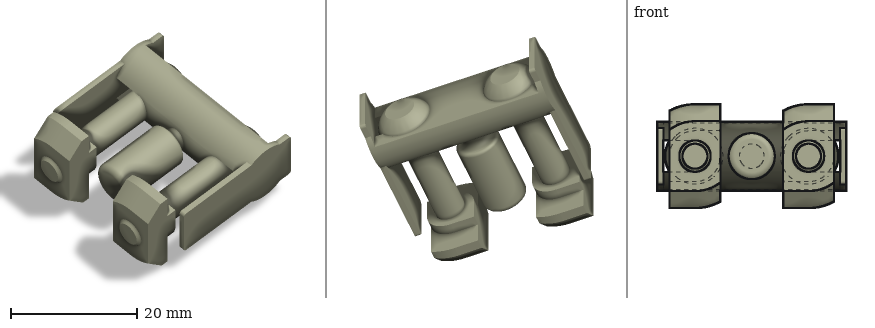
import cadquery as cq
import math

length = 30.0
back_y = length / 2
tip_y = -length / 2

plate_thickness = 1.0
plate_length = 23.5
plate_height = 9.0
plate_corner_radius = 0.5

tube_radius = 5.5
tube_y = 9.45
flat_offset = 1.5
flat_y = tube_y + flat_offset

bolt_x = 9.0
bolt_radius = 2.5
bolt_tip_chamfer = 0.5
head_base_radius = 4.75
head_top_radius = bolt_radius
head_height = 2.75
head_top_y = 12.8
head_base_y = head_top_y - head_height
head_arc_radius = 3.9

nut_width = 8.07
nut_height = 16.5
nut_neck_length = 1.7
nut_total_length = 6.0
nut_slope = 2.7
nut_slope_radius = 9.0
nut_front_y = tip_y + bolt_tip_chamfer
nut_back_y = nut_front_y + nut_total_length
nut_shoulder_y = nut_back_y - nut_neck_length

pin_radius = 3.65
pin_tip_y = -10.0
pin_shoulder_y = 2.52
pin_tip_fillet = 1.0
pin_shoulder_fillet = 0.5
pin_neck_radius = 1.95
pin_neck_fillet = 1.0


def cylinder_y(radius, start_y, end_y, x=0.0):
    """Cylinder parallel to Y, between two Y positions, centred on z = 0."""
    plane = cq.Plane(origin=(x, start_y, 0), xDir=(1, 0, 0), normal=(0, 1, 0))
    return cq.Workplane(plane).circle(radius).extrude(end_y - start_y)


def box_between(x_range, y_range, z_range):
    """Axis-aligned box given by its lower and upper limits."""
    sizes = [high - low for low, high in (x_range, y_range, z_range)]
    corner = (x_range[0], y_range[0], z_range[0])
    return cq.Workplane("XY").box(*sizes, centered=False).translate(corner)


def make_plate(start_x):
    """Rounded side plate with a disc that covers the end of the tube."""
    plate = (
        box_between(
            (start_x, start_x + plate_thickness),
            (back_y - plate_length, back_y),
            (-plate_height / 2, plate_height / 2),
        )
        .edges("|X")
        .fillet(plate_corner_radius)
    )
    disc = (
        cq.Workplane("YZ", origin=(start_x, 0, 0))
        .center(tube_y, 0)
        .circle(tube_radius)
        .extrude(plate_thickness)
    )
    return plate.union(disc)


def make_tube():
    """Solid round bar with a back flat and a round-ended slot at each end."""
    inner_half = length / 2 - plate_thickness
    front_y = tube_y - tube_radius
    tube = (
        cq.Workplane("YZ", origin=(-inner_half, 0, 0))
        .center(tube_y, 0)
        .circle(tube_radius)
        .extrude(2 * inner_half)
    )
    tube = tube.intersect(
        box_between((-inner_half, inner_half), (front_y, flat_y), (-tube_radius, tube_radius))
    )
    for x_range in ((-inner_half, -bolt_x), (bolt_x, inner_half)):
        slot = box_between(x_range, (front_y, flat_y), (-bolt_radius, bolt_radius))
        tube = tube.cut(slot)
    for x in (-bolt_x, bolt_x):
        tube = tube.cut(cylinder_y(bolt_radius, front_y, flat_y, x))
    return tube


def make_bolt():
    """Button-head bolt on the Y axis."""
    shank = cylinder_y(bolt_radius, tip_y, head_base_y).faces("<Y").chamfer(bolt_tip_chamfer)
    head = (
        cq.Workplane("XY")
        .moveTo(0, head_base_y)
        .lineTo(head_base_radius, head_base_y)
        .radiusArc((head_top_radius, head_top_y), -head_arc_radius)
        .lineTo(0, head_top_y)
        .close()
        .revolve(360, (0, 0, 0), (0, 1, 0))
    )
    return shank.union(head)


def quarter_turn_block(half_height, corner_radius, start_y, end_y):
    """Block of nut width, rounded about the bolt axis at two opposite corners."""
    half_width = nut_width / 2
    disc = cylinder_y(corner_radius, start_y, end_y)
    upper_right = box_between((0, half_width), (start_y, end_y), (0, half_height))
    lower_left = box_between((-half_width, 0), (start_y, end_y), (-half_height, 0))
    limits = box_between((-half_width, half_width), (start_y, end_y), (-half_height, half_height))
    return disc.intersect(limits).union(upper_right).union(lower_left)


def make_slope_limit():
    """Prism along the 45-degree slope: flat above x > 0, rounded above x < 0."""
    half_width = nut_width / 2
    side_drop = nut_slope_radius - math.sqrt(nut_slope_radius**2 - half_width**2)
    mid_drop = nut_slope_radius - math.sqrt(nut_slope_radius**2 - (half_width / 2) ** 2)
    depth = 2 * nut_height
    slope_plane = cq.Plane(
        origin=(0, nut_front_y, nut_height / 2 - nut_slope),
        xDir=(1, 0, 0),
        normal=(0, -1, -1),
    )
    return (
        cq.Workplane(slope_plane)
        .moveTo(half_width, 0)
        .lineTo(0, 0)
        .threePointArc((-half_width / 2, -mid_drop), (-half_width, -side_drop))
        .lineTo(-half_width, -depth)
        .lineTo(half_width, -depth)
        .close()
        .extrude(depth, both=True)
    )


def make_nut():
    """Hammer nut on the Y axis: a neck and a wide head sloped at both ends."""
    neck = quarter_turn_block(nut_width / 2, nut_width / 2, nut_shoulder_y, nut_back_y)
    head = quarter_turn_block(nut_height / 2, nut_height / 2, nut_front_y, nut_shoulder_y)
    slope_limit = make_slope_limit()
    head = head.intersect(slope_limit)
    head = head.intersect(slope_limit.rotate((0, 0, 0), (0, 1, 0), 180))
    return head.union(neck)


def make_pin():
    """Central pin with rounded ends and a filleted neck that enters the tube."""
    body = (
        cylinder_y(pin_radius, pin_tip_y, pin_shoulder_y)
        .faces("<Y")
        .edges()
        .fillet(pin_tip_fillet)
        .faces(">Y")
        .edges()
        .fillet(pin_shoulder_fillet)
    )
    neck_top_y = pin_shoulder_y + pin_neck_fillet
    foot_radius = pin_neck_radius + pin_neck_fillet
    neck = (
        cq.Workplane("XY")
        .moveTo(0, pin_shoulder_y)
        .lineTo(foot_radius, pin_shoulder_y)
        .radiusArc((pin_neck_radius, neck_top_y), pin_neck_fillet)
        .lineTo(pin_neck_radius, tube_y)
        .lineTo(0, tube_y)
        .close()
        .revolve(360, (0, 0, 0), (0, 1, 0))
    )
    return body.union(neck)


fastener = make_bolt().union(make_nut())

result = make_tube().union(make_pin())
for start_x in (-length / 2, length / 2 - plate_thickness):
    result = result.union(make_plate(start_x))
for x in (-bolt_x, bolt_x):
    result = result.union(fastener.translate((x, 0, 0)))